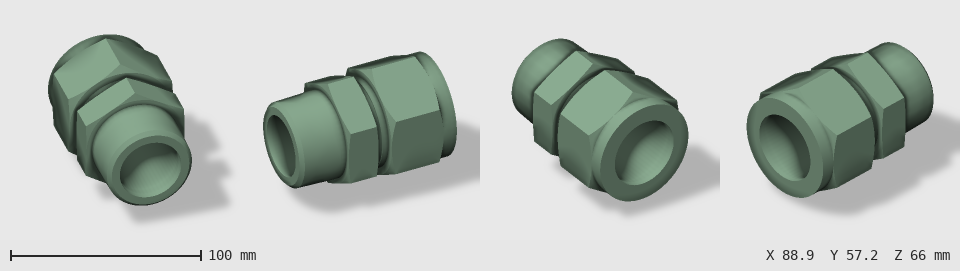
import cadquery as cq
import math


collar_end = 7.7
nut_end = 38.2
rim_end = 41.7
body_hex_start = 45.2
body_hex_end = 62.7
taper_start = 65.8
tip_chamfer = 2.1
total_length = 88.9

nut_flats = 57.2
nut_chamfer_angle = 30.0
body_hex_flats = 54.05
body_hex_chamfer_angle = 15.0

rim_diameter = 49.3
neck_diameter = 47.7
thread_diameter = 48.3
taper_per_length = 1 / 16

bore_diameter = 33.9
socket_diameter = 38.1
socket_depth = nut_end


def cylinder(start, end, diameter):
    """Round section along X between two stations."""
    return cq.Workplane("YZ", origin=(start, 0, 0)).circle(diameter / 2).extrude(end - start)


def chamfered_hexagon(start, end, flats, chamfer_angle):
    """Hexagon along X, corners up and down, with both ends turned to a cone."""
    corner_radius = flats / math.sqrt(3)
    flat_radius = flats / 2
    setback = (corner_radius - flat_radius) * math.tan(math.radians(chamfer_angle))
    prism = (
        cq.Workplane("YZ", origin=(start, 0, 0))
        .transformed(rotate=(0, 0, 90))
        .polygon(6, 2 * corner_radius)
        .extrude(end - start)
    )
    turned_envelope = (
        cq.Workplane("XY")
        .moveTo(start, 0)
        .lineTo(start, flat_radius)
        .lineTo(start + setback, corner_radius)
        .lineTo(end - setback, corner_radius)
        .lineTo(end, flat_radius)
        .lineTo(end, 0)
        .close()
        .revolve(360, (0, 0, 0), (1, 0, 0))
    )
    return prism.intersect(turned_envelope)


def tapered_thread_end():
    """Tapered male end with a 45 degree chamfer at its tip."""
    taper_end = total_length - tip_chamfer
    thread_radius = thread_diameter / 2
    small_radius = thread_radius - (taper_end - taper_start) * taper_per_length / 2
    return (
        cq.Workplane("XY")
        .moveTo(body_hex_end, 0)
        .lineTo(body_hex_end, thread_radius)
        .lineTo(taper_start, thread_radius)
        .lineTo(taper_end, small_radius)
        .lineTo(total_length, small_radius - tip_chamfer)
        .lineTo(total_length, 0)
        .close()
        .revolve(360, (0, 0, 0), (1, 0, 0))
    )


nut = cylinder(0, collar_end, nut_flats).union(
    chamfered_hexagon(collar_end, nut_end, nut_flats, nut_chamfer_angle)
)

body = (
    cylinder(nut_end, rim_end, rim_diameter)
    .union(cylinder(rim_end, body_hex_start, neck_diameter))
    .union(chamfered_hexagon(body_hex_start, body_hex_end, body_hex_flats, body_hex_chamfer_angle))
    .union(tapered_thread_end())
)

bore = cylinder(0, total_length, bore_diameter)
socket = cylinder(0, socket_depth, socket_diameter)

result = nut.union(body).cut(bore).cut(socket)